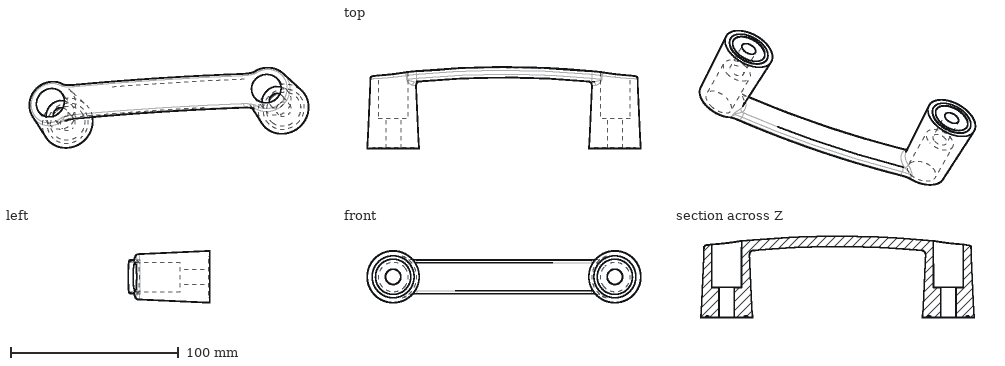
import cadquery as cq
import math

post_spacing = 132.0
post_base_diameter = 31.0
post_draft = 2.6
overall_depth = 48.7

outer_arc_radius = 560.0
grip_thickness = 6.5
grip_width = 20.3
crown_radius = 125.0

flare_radius = 22.0
flare_overlap = 0.6
post_radius_at_flare = 13.6

outer_edge_fillet = 1.6
inner_edge_fillet = 2.0
joint_fillet = 2.0

screw_hole_diameter = 9.0
head_bore_diameter = 17.6
head_bore_floor = 18.0
groove_mean_diameter = 23.0
groove_radius = 1.0

stock_top = overall_depth + 5.0
stock_reach = 95.0
stock_half_width = post_base_diameter

half_spacing = post_spacing / 2
half_width = grip_width / 2
post_base_radius = post_base_diameter / 2
post_centres = (-half_spacing, half_spacing)
arc_centre_y = overall_depth - outer_arc_radius
grip_inner_y = overall_depth - grip_thickness


def arched_block(crown_y, far_y):
    """Block with one crowned face, peaking at crown_y, swept along the grip arch."""
    crown_sag = crown_radius - math.sqrt(crown_radius**2 - stock_half_width**2)
    bulge = 1 if crown_y > far_y else -1
    edge_y = crown_y - bulge * crown_sag
    half_angle = math.degrees(math.asin(stock_reach / outer_arc_radius))
    block = (
        cq.Workplane("YZ")
        .moveTo(far_y, -stock_half_width)
        .lineTo(edge_y, -stock_half_width)
        .threePointArc((crown_y, 0), (edge_y, stock_half_width))
        .lineTo(far_y, stock_half_width)
        .close()
        .revolve(2 * half_angle, (arc_centre_y, 0), (arc_centre_y, 1))
    )
    return block.rotate((0, arc_centre_y, 0), (0, arc_centre_y, 1), -half_angle)


def post_cone(x):
    top_radius = post_base_radius - stock_top * math.tan(math.radians(post_draft))
    base = cq.Vector(x, 0, 0)
    return cq.Workplane(cq.Solid.makeCone(post_base_radius, top_radius, stock_top, base, cq.Vector(0, 1, 0)))


def grip_plan():
    """Grip outline in XZ: straight sides that flare outward into each post."""
    contact_radius = post_radius_at_flare - flare_overlap
    flare_z = half_width + flare_radius
    flare_offset = math.sqrt((contact_radius + flare_radius) ** 2 - flare_z**2)
    flare_x = half_spacing - flare_offset
    end_angle = math.atan2(flare_z, flare_offset)
    mid_angle = (end_angle + math.pi / 2) / 2
    end_x = flare_x + flare_radius * math.cos(end_angle)
    end_z = flare_z - flare_radius * math.sin(end_angle)
    mid_x = flare_x + flare_radius * math.cos(mid_angle)
    mid_z = flare_z - flare_radius * math.sin(mid_angle)
    return (
        cq.Workplane("XZ")
        .moveTo(-flare_x, half_width)
        .lineTo(flare_x, half_width)
        .threePointArc((mid_x, mid_z), (end_x, end_z))
        .lineTo(half_spacing, 0)
        .lineTo(end_x, -end_z)
        .threePointArc((mid_x, -mid_z), (flare_x, -half_width))
        .lineTo(-flare_x, -half_width)
        .threePointArc((-mid_x, -mid_z), (-end_x, -end_z))
        .lineTo(-half_spacing, 0)
        .lineTo(-end_x, end_z)
        .threePointArc((-mid_x, mid_z), (-flare_x, half_width))
        .close()
    )


def make_grip():
    """Grip with its inner long edges rounded; the ends are buried in the posts."""
    solid = grip_plan().extrude(-stock_top)
    solid = solid.intersect(arched_block(grip_inner_y, stock_top + grip_thickness))
    post_radius = post_radius_at_flare - flare_overlap

    def is_inner_side_edge(edge):
        box = edge.BoundingBox()
        centre = edge.Center()
        clear_of_post = math.hypot(abs(centre.x) - half_spacing, centre.z) > post_radius
        return box.ymax < grip_inner_y + 1.0 and clear_of_post

    edges = [edge for edge in solid.edges().vals() if is_inner_side_edge(edge)]
    return solid.newObject(edges).fillet(inner_edge_fillet)


def fillet_joints(body):
    """Round the edges where the grip meets the conical post walls."""
    cone_faces = body.faces("%CONE").vals()
    cone_edges = [edge for face in cone_faces for edge in face.Edges()]

    def is_joint(edge):
        return grip_thickness < edge.BoundingBox().ymin < stock_top - 1e-3

    edges = [edge for edge in cone_edges if is_joint(edge)]
    return body.newObject(edges).fillet(joint_fillet)


def fillet_outer_rim(body):
    """Round the edges bounding the arched outer face."""
    outer_face = body.faces(">Y").val()
    return body.newObject(outer_face.Edges()).fillet(outer_edge_fillet)


def cut_post_details(body, x):
    """Cut the stepped screw bore through a post and the ring groove in its base."""
    hole_radius = screw_hole_diameter / 2
    bore_radius = head_bore_diameter / 2
    screw_bore = (
        cq.Workplane("YZ", origin=(x, 0, 0))
        .lineTo(0, hole_radius)
        .lineTo(head_bore_floor, hole_radius)
        .lineTo(head_bore_floor, bore_radius)
        .lineTo(stock_top, bore_radius)
        .lineTo(stock_top, 0)
        .close()
        .revolve(360, (0, 0), (1, 0))
    )
    groove = cq.Workplane(
        cq.Solid.makeTorus(groove_mean_diameter / 2, groove_radius, cq.Vector(x, 0, 0), cq.Vector(0, 1, 0))
    )
    return body.cut(screw_bore).cut(groove)


body = make_grip()
for post_x in post_centres:
    body = body.union(post_cone(post_x))
body = fillet_joints(body)
body = body.intersect(arched_block(overall_depth, -stock_top))
body = fillet_outer_rim(body)
for post_x in post_centres:
    body = cut_post_details(body, post_x)

result = body